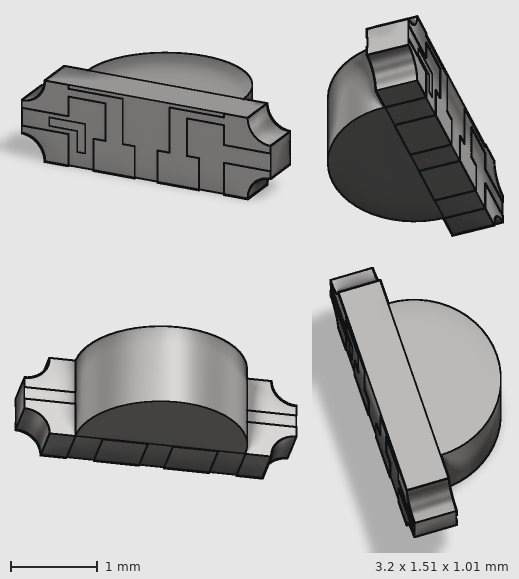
import cadquery as cq

lens_diameter = 2.0
lens_radius = lens_diameter / 2

board_length = 3.2
board_height = lens_radius
board_depth = 0.5
notch_radius = 0.3

plating = 0.01
corner_inner_x = lens_radius
front_gap = 0.22
back_gap = 0.155
trace_width_x = 0.225
trace_width_z = 0.095
trace_inner_x = 0.3
trace_top_z = 0.45
pad_width = 0.53

mark_left_x = -1.248
mark_top_z = 0.05
mark_length = 0.465
mark_drop = 0.365
mark_stroke = 0.105
mark_thickness = 0.0005

half_length = board_length / 2
half_height = board_height / 2
front_gap_z = front_gap / 2
back_gap_z = back_gap / 2
bottom_z = -half_height - plating
front_y = -plating
back_y = board_depth + plating
trace_outer_x = trace_inner_x + trace_width_x
pad_center_x = trace_inner_x + trace_width_x / 2


def block(x_min, x_max, y_min, y_max, z_min, z_max):
    """Box given by its limits along each axis."""
    size = (x_max - x_min, y_max - y_min, z_max - z_min)
    return cq.Workplane("XY").box(*size, centered=False).translate((x_min, y_min, z_min))


def front_prism(points, y_min, y_max):
    """Closed X-Z outline extruded along Y."""
    plane = cq.Workplane("XZ", origin=(0, y_max, 0))
    return plane.polyline(points).close().extrude(y_max - y_min)


def corner_cylinders(radius):
    """Cylinders along Y on the four corners of the board outline."""
    corners = [(x, z) for x in (-half_length, half_length) for z in (-half_height, half_height)]
    plane = cq.Workplane("XZ", origin=(0, back_y, 0))
    return plane.pushPoints(corners).circle(radius).extrude(back_y - front_y)


def make_board_core():
    """Rectangular board with a quarter-round notch in each corner."""
    slab = block(-half_length, half_length, 0, board_depth, -half_height, half_height)
    return slab.cut(corner_cylinders(notch_radius))


def make_polarity_mark():
    """Upside-down L with its long arm level and its short arm hanging at the inner end."""
    right_x = mark_left_x + mark_length
    outline = [
        (mark_left_x, mark_top_z),
        (right_x, mark_top_z),
        (right_x, mark_top_z - mark_drop),
        (right_x - mark_stroke, mark_top_z - mark_drop),
        (right_x - mark_stroke, mark_top_z - mark_stroke),
        (mark_left_x, mark_top_z - mark_stroke),
    ]
    return front_prism(outline, -mark_thickness, 0)


def make_lens():
    """Half cylinder standing on the back face of the board."""
    plane = cq.Workplane("XY", origin=(0, board_depth, -half_height))
    outline = plane.moveTo(-lens_radius, 0).threePointArc((0, lens_radius), (lens_radius, 0)).close()
    return outline.extrude(board_height)


def plate_over(envelope, core):
    """Leave only the plating layer of an envelope around the board and its notches."""
    return envelope.cut(core).cut(corner_cylinders(notch_radius - plating))


def corner_envelope(z_min, z_max):
    """Left corner region, cut back on the front to the front gap."""
    region = block(-half_length, -corner_inner_x, front_y, back_y, z_min, z_max)
    return region.cut(block(-half_length, -corner_inner_x, front_y, 0, -front_gap_z, front_gap_z))


def make_lower_electrode(core):
    """Left lower corner: front and back plates, notch lining and bottom strip."""
    return plate_over(corner_envelope(bottom_z, -back_gap_z), core)


def make_upper_electrode(core):
    """Left upper corner, joined by a bent trace to a pad that folds under the board."""
    corner = plate_over(corner_envelope(back_gap_z, half_height), core)
    trace_outline = [
        (-corner_inner_x, trace_top_z),
        (-trace_inner_x, trace_top_z),
        (-trace_inner_x, -front_gap_z),
        (-trace_outer_x, -front_gap_z),
        (-trace_outer_x, trace_top_z - trace_width_z),
        (-corner_inner_x, trace_top_z - trace_width_z),
    ]
    trace = front_prism(trace_outline, front_y, 0)
    pad_left = -pad_center_x - pad_width / 2
    pad_envelope = block(pad_left, pad_left + pad_width, front_y, board_depth, bottom_z, -front_gap_z)
    pad = plate_over(pad_envelope, core)
    return corner.union(trace).union(pad)


board_core = make_board_core()
board = board_core.union(make_polarity_mark())
lens = make_lens()

electrodes = []
for make_electrode in (make_upper_electrode, make_lower_electrode):
    left_electrode = make_electrode(board_core)
    electrodes.append(left_electrode.solids().val())
    electrodes.append(left_electrode.mirror("YZ").solids().val())

result = cq.Compound.makeCompound([board.solids().val(), lens.val(), *electrodes])